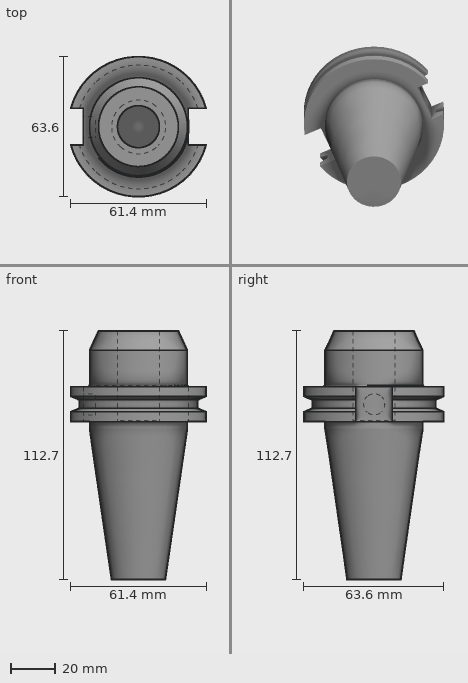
import cadquery as cq

overall_height = 112.7
taper_height = 68.4
flange_bottom = 71.6
flange_thickness = 15.9
flange_top = flange_bottom + flange_thickness
flange_middle = flange_bottom + flange_thickness / 2

body_diameter = 44.4
taper_small_diameter = 24.5
nose_tip_diameter = 36.2
nose_cone_height = 8.9
nose_fillet = 0.7

flange_diameter = 63.6
groove_diameter = 56.2
groove_floor_width = 3.8
groove_mouth_width = 7.1

slot_width = 16.6
left_slot_floor = 25.0
right_slot_floor = 22.7

bore_diameter = 19.0
bore_depth = 40.6
side_hole_diameter = 9.6
side_hole_depth = 5.4


def revolved_body():
    body_radius = body_diameter / 2
    flange_radius = flange_diameter / 2
    groove_radius = groove_diameter / 2
    return (
        cq.Workplane("XZ")
        .lineTo(taper_small_diameter / 2, 0)
        .lineTo(body_radius, taper_height)
        .lineTo(body_radius, flange_bottom)
        .lineTo(flange_radius, flange_bottom)
        .lineTo(flange_radius, flange_middle - groove_mouth_width / 2)
        .lineTo(groove_radius, flange_middle - groove_floor_width / 2)
        .lineTo(groove_radius, flange_middle + groove_floor_width / 2)
        .lineTo(flange_radius, flange_middle + groove_mouth_width / 2)
        .lineTo(flange_radius, flange_top)
        .lineTo(body_radius + nose_fillet, flange_top)
        .radiusArc((body_radius, flange_top + nose_fillet), nose_fillet)
        .lineTo(body_radius, overall_height - nose_cone_height)
        .lineTo(nose_tip_diameter / 2, overall_height)
        .lineTo(0, overall_height)
        .close()
        .revolve(360, (0, 0, 0), (0, 1, 0))
    )


def drive_slot(floor_distance, side):
    """Slot cutter on one side of the flange; side is -1 for -X and +1 for +X."""
    slot_length = flange_diameter / 2
    centre_x = side * (floor_distance + slot_length / 2)
    return (
        cq.Workplane("XY")
        .box(slot_length, slot_width, flange_thickness)
        .translate((centre_x, 0, flange_middle))
    )


def tool_bore():
    return (
        cq.Workplane("XY", origin=(0, 0, overall_height))
        .circle(bore_diameter / 2)
        .extrude(-bore_depth)
    )


def side_hole():
    """Blind hole running inward from the floor of the -X slot."""
    return (
        cq.Workplane("YZ", origin=(-left_slot_floor, 0, flange_middle))
        .circle(side_hole_diameter / 2)
        .extrude(side_hole_depth)
    )


result = (
    revolved_body()
    .cut(drive_slot(left_slot_floor, -1))
    .cut(drive_slot(right_slot_floor, 1))
    .cut(tool_bore())
    .cut(side_hole())
)